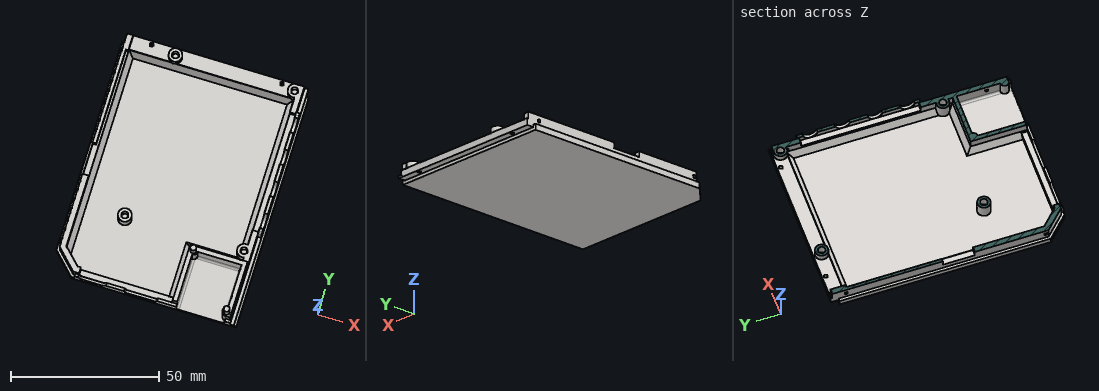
import cadquery as cq

LENGTH_X = 65.9
LENGTH_Y = 85.8
PIN_TOP = 12.3

FLOOR_TOP = 1.1
POCKET_FLOOR = 1.3
STEP_BOTTOM = 1.3
FOOT_TOP = 2.2
FRONT_LEDGE_TOP = 2.75
LEDGE_TOP = 3.9
SILL_TOP = 4.2
FRONT_LIP_TOP = 4.4
WALL_TOP = 6.35
BOX_TOP = 7.9

FOOT_BACK = 83.0
CORNER_CUT = 7.55
BODY_INSET = 1.0
WALL_INNER_INSET = 3.2
WALL_BACK = 85.3
BODY_RIGHT = 63.7
SHELF_RIGHT = 64.95
DIAGONAL_RATIO = 2 ** 0.5

CAVITY_RIGHT = 61.5
CAVITY_BACK = 80.65
BEVEL_RUN = 2.0
BEVEL_RISE = 2.1
FRONT_WALL_END = 10.0

LEFT_NOTCH_START = 34.3
LEFT_NOTCH_END = 45.7
RECESS_END = 79.8
RECESS_LEFT = 2.3
RIGHT_SILL_START = 32.5
RIGHT_SILL_END = 75.25

LIP_LEFT = 8.7
LIP_END_RADIUS = 0.7
FRONT_DIPS = ((10.0, 19.9, 3.1, 0.95, 0.9), (26.25, 37.9, 2.9, 0.5, 0.3))

BOX_LEFT = 43.1
BOX_RIGHT = 63.3
BOX_BACK = 21.2
BOX_WALL = 1.6
POCKET_RIGHT = 61.7
POCKET_FILLET = 0.9
PIN_DIAMETER = 2.1
PIN_BOSS_DIAMETER = 3.1
FRONT_PIN_Y = 2.6

POST_DIAMETER = 4.7
POST_BORE = 2.4
POST_BORE_DEPTH = 3.4
POST_XS = (18.9, 60.9)
POST_ROWS = ((24.9, FLOOR_TOP), (82.9, STEP_BOTTOM))

LEDGE_HOLE_DIAMETER = 1.3
LEDGE_HOLE_X = 9.95
LEDGE_HOLE_Y = 84.5
WALL_HOLE_DIAMETER = 1.1
WALL_HOLE_YS = (8.9, 80.3)
WALL_HOLE_Z = 4.3

STRIP_START = 31.75
STRIP_END = 75.9
STRIP_TOP = 7.0
STRIP_FILLET = 1.1
SCALLOP_RADIUS = 2.7
SCALLOP_COUNT = 4
SCALLOP_PITCH = 11.6


def block(x0, x1, y0, y1, z0, z1):
    """Box between two opposite corners."""
    return cq.Workplane("XY").box(x1 - x0, y1 - y0, z1 - z0, centered=False).translate((x0, y0, z0))


def cylinder(x, y, diameter, z0, z1):
    """Upright cylinder."""
    return cq.Workplane("XY", origin=(x, y, z0)).circle(diameter / 2).extrude(z1 - z0)


def cut_corner_plate(inset, right, back, z0, z1):
    """Plate with its front-left corner cut off, inset from the foot outline on the left and front."""
    cut = CORNER_CUT + inset * (DIAGONAL_RATIO - 1)
    outline = [
        (inset, cut),
        (cut, inset),
        (right, inset),
        (right, back),
        (inset, back),
    ]
    return cq.Workplane("XY", origin=(0, 0, z0)).polyline(outline).close().extrude(z1 - z0)


def ramp_along_y(x, run, y0, y1):
    """Ramp falling from full bevel height at x to the floor at x + run."""
    profile = [(x, FLOOR_TOP), (x + run, FLOOR_TOP), (x, FLOOR_TOP + BEVEL_RISE)]
    return cq.Workplane("XZ", origin=(0, y0, 0)).polyline(profile).close().extrude(y0 - y1)


def ramp_along_x(y, run, x0, x1):
    """Ramp falling from full bevel height at y to the floor at y + run."""
    profile = [(y, FLOOR_TOP), (y + run, FLOOR_TOP), (y, FLOOR_TOP + BEVEL_RISE)]
    return cq.Workplane("YZ", origin=(x0, 0, 0)).polyline(profile).close().extrude(x1 - x0)


def make_body():
    foot = cut_corner_plate(0, LENGTH_X, FOOT_BACK, 0, FOOT_TOP)
    groove_profile = [
        (SHELF_RIGHT, FOOT_TOP),
        (SHELF_RIGHT, STEP_BOTTOM),
        (LENGTH_X, FOOT_TOP),
    ]
    groove = cq.Workplane("XZ").polyline(groove_profile).close().extrude(-LENGTH_Y)
    overhang = block(BODY_INSET, SHELF_RIGHT, CAVITY_BACK, LENGTH_Y, STEP_BOTTOM, FOOT_TOP)
    ledge = cut_corner_plate(BODY_INSET, BODY_RIGHT, LENGTH_Y, STEP_BOTTOM, LEDGE_TOP)
    return foot.cut(groove).union(overhang).union(ledge)


def make_walls():
    """Tall left, corner and right walls, with their openings."""
    walls = cut_corner_plate(BODY_INSET, BODY_RIGHT, WALL_BACK, LEDGE_TOP, WALL_TOP)
    walls = walls.cut(cut_corner_plate(WALL_INNER_INSET, CAVITY_RIGHT, LENGTH_Y, LEDGE_TOP, WALL_TOP))
    walls = walls.cut(block(FRONT_WALL_END, CAVITY_RIGHT, 0, WALL_INNER_INSET, LEDGE_TOP, WALL_TOP))
    walls = walls.cut(
        block(0, WALL_INNER_INSET, LEFT_NOTCH_START, LEFT_NOTCH_END, SILL_TOP, WALL_TOP)
    )
    walls = walls.cut(
        block(RECESS_LEFT, WALL_INNER_INSET, LEFT_NOTCH_END, RECESS_END, SILL_TOP, WALL_TOP)
    )
    return walls.cut(
        block(CAVITY_RIGHT, BODY_RIGHT, RIGHT_SILL_START, RIGHT_SILL_END, SILL_TOP, WALL_TOP)
    )


def make_cavity():
    """Tray hollow with ramps along its left, right and back sides."""
    cavity = cut_corner_plate(WALL_INNER_INSET, CAVITY_RIGHT, CAVITY_BACK, FLOOR_TOP, LEDGE_TOP)
    cavity = cavity.cut(ramp_along_y(WALL_INNER_INSET, BEVEL_RUN, 0, LENGTH_Y))
    cavity = cavity.cut(ramp_along_y(CAVITY_RIGHT, -BEVEL_RUN, 0, LENGTH_Y))
    cavity = cavity.cut(ramp_along_x(CAVITY_BACK, -BEVEL_RUN, 0, LENGTH_X))
    front_ledge = block(FRONT_WALL_END, CAVITY_RIGHT, 0, WALL_INNER_INSET, FRONT_LEDGE_TOP, LEDGE_TOP)
    return cavity.union(front_ledge)


def make_front_lip():
    """Thin lip along the front edge, rounded at both ends, with two sloped dips."""
    lip = block(LIP_LEFT, BODY_RIGHT, 0, BODY_INSET, STEP_BOTTOM, FRONT_LIP_TOP)
    lip = lip.edges("|Y and >Z").fillet(LIP_END_RADIUS)
    for left, right, bottom, run, fillet in FRONT_DIPS:
        profile = [
            (left, FRONT_LIP_TOP),
            (left + run, bottom),
            (right - run, bottom),
            (right, FRONT_LIP_TOP),
        ]
        dip = cq.Workplane("XZ").polyline(profile).close().extrude(-BODY_INSET)
        lip = lip.cut(dip.faces("<Z").edges("|Y").fillet(fillet))
    return lip


def make_scalloped_strip():
    strip = block(BODY_RIGHT, SHELF_RIGHT, STRIP_START, STRIP_END, FOOT_TOP, STRIP_TOP)
    strip = strip.edges("|X and >Z").fillet(STRIP_FILLET)
    first = (STRIP_START + STRIP_END - SCALLOP_PITCH * (SCALLOP_COUNT - 1)) / 2
    for index in range(SCALLOP_COUNT):
        y = first + index * SCALLOP_PITCH
        scallop = (
            cq.Workplane("YZ", origin=(BODY_RIGHT, y, STRIP_TOP))
            .circle(SCALLOP_RADIUS)
            .extrude(SHELF_RIGHT - BODY_RIGHT)
        )
        strip = strip.cut(scallop)
    return strip


def add_posts(part):
    for y, base in POST_ROWS:
        for x in POST_XS:
            part = part.union(cylinder(x, y, POST_DIAMETER, base, WALL_TOP))
            part = part.cut(cylinder(x, y, POST_BORE, WALL_TOP - POST_BORE_DEPTH, WALL_TOP))
    return part


def add_corner_box(part):
    """Box open to the front, ramped outside, filleted inside, with two locating pins."""
    pocket_left = BOX_LEFT + BOX_WALL
    pocket_back = BOX_BACK - BOX_WALL
    part = part.union(block(BOX_LEFT, BOX_RIGHT, BODY_INSET, BOX_BACK, FLOOR_TOP, BOX_TOP))

    skirt_left = BOX_LEFT - BEVEL_RUN
    skirt_back = BOX_BACK + BEVEL_RUN
    ramp_top = FLOOR_TOP + BEVEL_RISE
    left_side = ramp_along_y(BOX_LEFT, -BEVEL_RUN, BODY_INSET, skirt_back).union(
        block(BOX_LEFT, CAVITY_RIGHT, BODY_INSET, skirt_back, FLOOR_TOP, ramp_top)
    )
    back_side = ramp_along_x(BOX_BACK, BEVEL_RUN, skirt_left, CAVITY_RIGHT).union(
        block(skirt_left, CAVITY_RIGHT, BODY_INSET, BOX_BACK, FLOOR_TOP, ramp_top)
    )
    part = part.union(left_side.intersect(back_side))

    pocket = block(pocket_left, POCKET_RIGHT, 0, pocket_back, POCKET_FLOOR, BOX_TOP)
    pocket = pocket.faces("<Z").edges("not <Y").fillet(POCKET_FILLET)
    part = part.cut(pocket)

    for x, y in ((pocket_left, pocket_back), (POCKET_RIGHT, FRONT_PIN_Y)):
        part = part.union(cylinder(x, y, PIN_BOSS_DIAMETER, FLOOR_TOP, BOX_TOP))
        part = part.union(cylinder(x, y, PIN_DIAMETER, BOX_TOP, PIN_TOP))
    return part


def cut_small_holes(part):
    for x in (LEDGE_HOLE_X, LENGTH_X - LEDGE_HOLE_X):
        part = part.cut(cylinder(x, LEDGE_HOLE_Y, LEDGE_HOLE_DIAMETER, 0, LEDGE_TOP))
    for y in WALL_HOLE_YS:
        for x0, x1 in ((0, WALL_INNER_INSET), (CAVITY_RIGHT, BODY_RIGHT)):
            hole = cq.Workplane("YZ", origin=(x0, y, WALL_HOLE_Z)).circle(WALL_HOLE_DIAMETER / 2)
            part = part.cut(hole.extrude(x1 - x0))
    return part


result = make_body().cut(make_cavity()).union(make_walls()).union(make_front_lip())
result = result.union(make_scalloped_strip())
result = add_posts(result)
result = add_corner_box(result)
result = cut_small_holes(result)